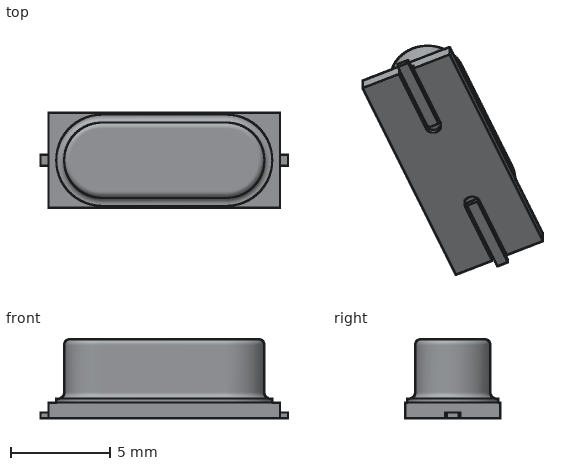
import cadquery as cq

overall_length = 12.5
overall_height = 4.0

base_length = 11.7
base_width = 4.8
base_height = 0.8

end_center_spacing = 6.3
can_radius = 1.9
can_fillet_radius = 0.3
flange_radius = 2.3
flange_thickness = 0.2

lead_width = 0.57
lead_thickness = 0.3
groove_width = 0.8
groove_end_center_x = 2.44

flange_top = base_height + flange_thickness
selection_margin = 0.05


def make_obround(end_radius, bottom, top):
    """Upright obround block, long along X and centred on the Z axis."""
    return (
        cq.Workplane("XY", origin=(0, 0, bottom))
        .slot2D(end_center_spacing + 2 * end_radius, 2 * end_radius)
        .extrude(top - bottom)
    )


def make_bar(inner_x, outer_x, width):
    """Flat bar on the bottom plane, one lead thick, from inner_x to outer_x."""
    return (
        cq.Workplane("XY")
        .center((inner_x + outer_x) / 2, 0)
        .rect(abs(outer_x - inner_x), width)
        .extrude(lead_thickness)
    )


def make_base():
    return cq.Workplane("XY").box(base_length, base_width, base_height, centered=(True, True, False))


def make_can():
    """Flange and shell, rounded at the top edge and blended into the flange."""
    flange = make_obround(flange_radius, base_height, flange_top)
    shell = make_obround(can_radius, flange_top, overall_height)
    can = flange.union(shell.faces(">Z").edges().fillet(can_fillet_radius))

    reach_x = end_center_spacing / 2 + can_radius + selection_margin
    reach_y = can_radius + selection_margin
    foot_box = cq.selectors.BoxSelector(
        (-reach_x, -reach_y, flange_top - selection_margin),
        (reach_x, reach_y, flange_top + selection_margin),
        boundingbox=True,
    )
    return can.edges(foot_box).fillet(can_fillet_radius)


def make_groove(side):
    """Cutter for the groove at one end; side is -1 or +1 along X."""
    end_center_x = side * groove_end_center_x
    round_end = cq.Workplane("XY").center(end_center_x, 0).circle(groove_width / 2).extrude(lead_thickness)
    return make_bar(end_center_x, side * base_length / 2, groove_width).union(round_end)


def make_lead(side):
    """Lead from the centre of the groove's round end out past the base."""
    return make_bar(side * groove_end_center_x, side * overall_length / 2, lead_width)


result = make_base().union(make_can())
for side in (-1, 1):
    result = result.cut(make_groove(side)).union(make_lead(side))